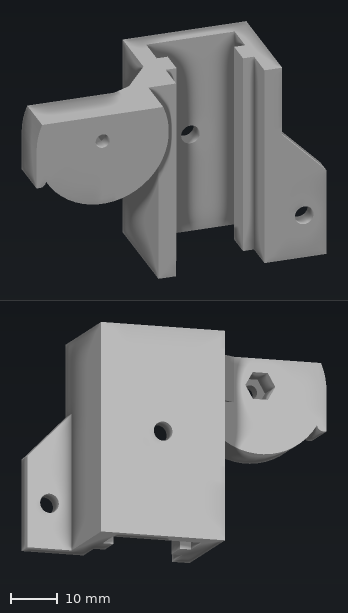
import cadquery as cq
import math

channel_width = 24.0
channel_height = 46.0
wall = 4.0
cavity_depth = 20.0
channel_depth = cavity_depth + 2 * wall
rib_width = 5.9
rib_projection = 2.5
screw_hole_diameter = 4.2

tab_length = 10.0
tab_outer_height = 20.0
tab_inner_height = tab_outer_height + tab_length
tab_hole_height = 10.0

arm_thickness = 10.0
arm_radius = 15.0
pivot_y = -16.0
pivot_drop = 6.0
pivot_z = channel_height - pivot_drop
pivot_hole_diameter = 3.2
nut_across_flats = 5.85
nut_across_corners = nut_across_flats / math.cos(math.pi / 6)
nut_pocket_depth = 7.0

lip_drop = 9.0
lip_flat = 1.0
lip_notch_drop = 7.7
lip_bulge = 0.3

bridge_height = 10.0
bridge_start_x = 14.0
bridge_knee_x = 22.0
bridge_knee_y = -6.0
bridge_end_y = -10.0


def box(x_size, y_size, z_size, corner):
    return cq.Workplane("XY").box(x_size, y_size, z_size, centered=False).translate(corner)


def cylinder_along_x(diameter, x, y, z, length):
    return cq.Workplane("YZ", origin=(x, y, z)).circle(diameter / 2).extrude(length)


def make_channel():
    body = box(channel_width, channel_depth, channel_height, (0, 0, 0))
    body = body.cut(box(channel_width - wall, cavity_depth, channel_height, (wall, wall, 0)))
    rib_x = (wall + channel_width - rib_width) / 2
    for rib_y in (wall, channel_depth - wall - rib_projection):
        body = body.union(box(rib_width, rib_projection, channel_height, (rib_x, rib_y, 0)))
    return body.cut(
        cylinder_along_x(screw_hole_diameter, 0, channel_depth / 2, channel_height / 2, wall)
    )


def make_tab():
    tab_x = channel_width - wall
    tab_end_y = channel_depth + tab_length
    tab_root_y = channel_depth - wall
    tab = (
        cq.Workplane("YZ", origin=(tab_x, 0, 0))
        .moveTo(tab_root_y, 0)
        .lineTo(tab_end_y, 0)
        .lineTo(tab_end_y, tab_outer_height)
        .lineTo(channel_depth, tab_inner_height)
        .lineTo(tab_root_y, tab_inner_height)
        .close()
        .extrude(wall)
    )
    hole_y = channel_depth + tab_length / 2
    return tab.cut(cylinder_along_x(screw_hole_diameter, tab_x, hole_y, tab_hole_height, wall))


def make_bridge():
    return (
        cq.Workplane("XY", origin=(0, 0, channel_height - bridge_height))
        .moveTo(bridge_start_x, 0)
        .lineTo(bridge_knee_x, bridge_knee_y)
        .lineTo(channel_width, bridge_end_y)
        .lineTo(channel_width, wall)
        .lineTo(bridge_start_x, wall)
        .close()
        .extrude(bridge_height)
    )


def make_arm():
    top_half_width = math.sqrt(arm_radius**2 - pivot_drop**2)
    notch_y = -math.sqrt(arm_radius**2 - lip_notch_drop**2)
    lip_edge_y = -arm_radius + lip_flat
    front_arc_angle = math.asin(pivot_drop / arm_radius) / 2
    front_arc_middle = (
        -arm_radius * math.cos(front_arc_angle),
        arm_radius * math.sin(front_arc_angle),
    )
    return (
        cq.Workplane("YZ", origin=(channel_width, pivot_y, pivot_z))
        .moveTo(top_half_width, pivot_drop)
        .lineTo(-top_half_width, pivot_drop)
        .threePointArc(front_arc_middle, (-arm_radius, 0))
        .lineTo(-arm_radius, -lip_drop)
        .lineTo(lip_edge_y, -lip_drop)
        .sagittaArc((notch_y, -lip_notch_drop), -lip_bulge)
        .threePointArc((0, -arm_radius), (top_half_width, pivot_drop))
        .close()
        .extrude(arm_thickness)
    )


def make_pivot_cut():
    bore = cylinder_along_x(pivot_hole_diameter, channel_width, pivot_y, pivot_z, arm_thickness)
    nut_pocket = (
        cq.Workplane("YZ", origin=(channel_width, pivot_y, pivot_z))
        .polygon(6, nut_across_corners)
        .extrude(nut_pocket_depth)
    )
    return bore.union(nut_pocket)


result = (
    make_channel()
    .union(make_tab())
    .union(make_bridge())
    .union(make_arm())
    .cut(make_pivot_cut())
)